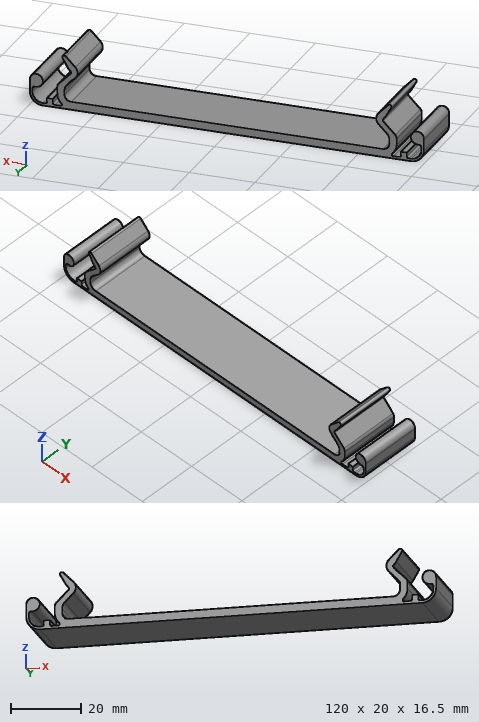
import cadquery as cq
import math

width = 120.0
depth = 20.0
height = 16.5

base_thickness = 2.5
skin = 0.8

hook_radius = 4.0
bead_radius = 2.0
bead_top = 9.5
hook_corner_radius = 0.8

rib_start = 5.2
rib_width = 1.8
rib_foot_radius = 0.6

wall_start = 8.35
wall_thickness = 2.2
wall_foot_rise = 2.0
wall_foot_radius = 4.1
groove_radius = 0.4
floor_corner_radius = 2.0
bend_outer_radius = 1.5
bend_inner_radius = 2.5
arm_thickness = 1.8
nose_reach = 14.55
nose_height = 11.7
nose_radius = 2.4
notch_x = 12.7
notch_radius = 0.3
barb_z = 12.75
tip_radius = 0.6
tip_taper = math.radians(15)

bead_centre_z = bead_top - bead_radius
bead_bottom = bead_centre_z - bead_radius
wall_end = wall_start + wall_thickness
nose_corner_x = nose_reach + nose_radius * (math.sqrt(2) - 1)
arm_inner_offset = nose_corner_x - nose_height
arm_outer_offset = arm_inner_offset - arm_thickness * math.sqrt(2)

tip_centre_z = height - tip_radius
tip_centre_x = nose_corner_x + nose_height - tip_radius * math.sqrt(2) - tip_centre_z
inner_side_angle = math.radians(135)
outer_side_angle = inner_side_angle - tip_taper
apex_distance = tip_radius / math.sin(tip_taper / 2)
apex_angle = inner_side_angle - tip_taper / 2
apex_x = tip_centre_x + apex_distance * math.cos(apex_angle)
apex_z = tip_centre_z + apex_distance * math.sin(apex_angle)
barb_x = apex_x - (apex_z - barb_z) / math.tan(outer_side_angle)


def end_outline():
    """One end of the profile, from the hook's outer face to the base top: (x, z, corner radius)."""
    hook = [
        (0, bead_centre_z, 0),
        (bead_radius, bead_centre_z, 0),
        (bead_radius, bead_bottom, 0),
        (skin, bead_bottom, hook_corner_radius),
        (skin, skin, hook_radius - skin),
    ]
    rib_end = rib_start + rib_width
    rib = [
        (rib_start, skin, rib_foot_radius),
        (rib_start, base_thickness, 0),
        (rib_end, base_thickness, 0),
        (rib_end, skin, rib_foot_radius),
    ]
    clip_outside = [
        (wall_start + wall_foot_rise, skin, groove_radius),
        (wall_start, skin + wall_foot_rise, wall_foot_radius),
        (wall_start, wall_start - arm_outer_offset, bend_outer_radius),
        (notch_x, notch_x - arm_outer_offset, notch_radius),
        (barb_x, barb_z, 0),
        (apex_x, apex_z, tip_radius),
    ]
    clip_inside = [
        (nose_corner_x, nose_height, nose_radius),
        (wall_end, wall_end - arm_inner_offset, bend_inner_radius),
        (wall_end, base_thickness, floor_corner_radius),
    ]
    return hook + rib + clip_outside + clip_inside


def unit(start, end):
    length = math.dist(start, end)
    return ((end[0] - start[0]) / length, (end[1] - start[1]) / length)


def corner_arc(before, corner, after, radius):
    """Start, middle and end of the arc of the given radius that rounds a corner."""
    to_before = unit(corner, before)
    to_after = unit(corner, after)
    cosine = to_before[0] * to_after[0] + to_before[1] * to_after[1]
    half_angle = math.acos(cosine) / 2
    setback = radius / math.tan(half_angle)
    middle_distance = radius / math.sin(half_angle) - radius
    bisector = unit((0, 0), (to_before[0] + to_after[0], to_before[1] + to_after[1]))
    start = (corner[0] + setback * to_before[0], corner[1] + setback * to_before[1])
    middle = (corner[0] + middle_distance * bisector[0], corner[1] + middle_distance * bisector[1])
    end = (corner[0] + setback * to_after[0], corner[1] + setback * to_after[1])
    return start, middle, end


def rounded_profile(vertices):
    """Closed XZ sketch through the vertices, each rounded by its own radius; the first is sharp."""
    points = [(x, z) for x, z, _ in vertices]
    sketch = cq.Workplane("XZ", origin=(0, depth / 2, 0)).moveTo(*points[0])
    for index in range(1, len(vertices)):
        radius = vertices[index][2]
        following = points[(index + 1) % len(points)]
        if radius == 0:
            sketch = sketch.lineTo(*points[index])
        else:
            start, middle, end = corner_arc(points[index - 1], points[index], following, radius)
            sketch = sketch.lineTo(*start).threePointArc(middle, end)
    return sketch.close()


def body():
    """Base, hooks, ribs and clips as one extrusion."""
    left = [(x - width / 2, z, radius) for x, z, radius in end_outline()]
    right = [(-x, z, radius) for x, z, radius in reversed(left)]
    bottom = [(width / 2, 0, hook_radius), (-width / 2, 0, hook_radius)]
    return rounded_profile(left + right + bottom).extrude(depth)


def beads():
    """Round beads along the lips of both hooks."""
    bead_x = width / 2 - bead_radius
    plane = cq.Workplane("XZ", origin=(0, depth / 2, bead_centre_z))
    return plane.pushPoints([(-bead_x, 0), (bead_x, 0)]).circle(bead_radius).extrude(depth)


result = body().union(beads()).clean()